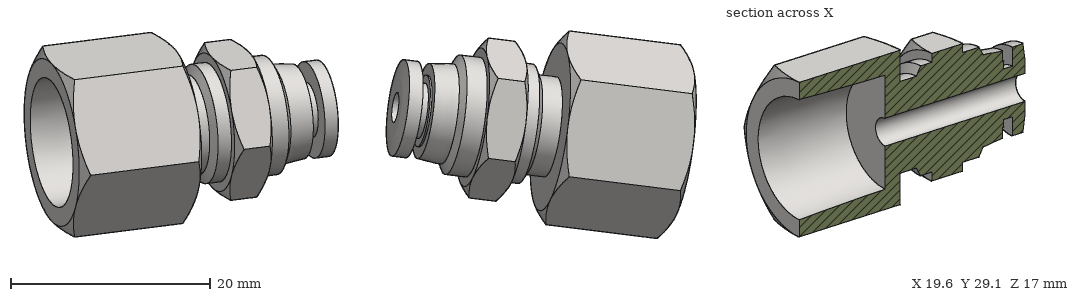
import cadquery as cq
import math

total_length = 29.05

body_flats = 17.0
body_length = 13.0
port_mouth_diameter = 13.15
port_depth = 11.05
port_taper = 1 / 16
through_hole_diameter = 3.02

nut_flats = 14.03
nut_thickness = 4.0
nut_start = body_length + 4.0
hex_chamfer_angle = 30.0

shank_diameter = 10.15
shank_end = body_length + 2.03
collar_diameter = 12.1
collar_chamfer_length = 0.55
collar_end = total_length - 5.37

sleeve_land_length = 0.45
sleeve_end = total_length - 2.9
sleeve_tip_diameter = 9.65
ring_diameter = 7.25
ring_height = 0.17

button_neck_diameter = 5.6
button_diameter = 9.8
button_thickness = 1.68
button_bevel_length = 0.25
button_face_diameter = 6.2


def revolve_about_y(stations):
    """Revolve a stepped outline given as (diameter, y) pairs."""
    first_y = stations[0][1]
    last_y = stations[-1][1]
    outline = [(0, first_y)]
    outline += [(diameter / 2, y) for diameter, y in stations]
    outline.append((0, last_y))
    return cq.Workplane("XY").polyline(outline).close().revolve(360, (0, 0, 0), (0, 1, 0))


def chamfered_hexagon(flats, start, length):
    """Hexagonal prism with corners on the X axis, conically chamfered at both ends."""
    corners = flats / math.cos(math.radians(30))
    chamfer = (corners - flats) / 2 * math.tan(math.radians(hex_chamfer_angle))
    end = start + length
    prism = cq.Workplane("XZ", origin=(0, start, 0)).polygon(6, corners).extrude(-length)
    envelope = revolve_about_y([
        (flats, start),
        (corners, start + chamfer),
        (corners, end - chamfer),
        (flats, end),
    ])
    return prism.intersect(envelope)


body = chamfered_hexagon(body_flats, 0, body_length)
nut = chamfered_hexagon(nut_flats, nut_start, nut_thickness)

button_start = total_length - button_thickness
ring_end = sleeve_end + ring_height
stem = revolve_about_y([
    (shank_diameter, body_length),
    (shank_diameter, shank_end),
    (collar_diameter, shank_end + collar_chamfer_length),
    (collar_diameter, collar_end - collar_chamfer_length),
    (shank_diameter, collar_end),
    (shank_diameter, collar_end + sleeve_land_length),
    (sleeve_tip_diameter, sleeve_end),
    (ring_diameter, sleeve_end),
    (ring_diameter, ring_end),
    (button_neck_diameter, ring_end),
    (button_neck_diameter, button_start),
    (button_diameter, button_start),
    (button_diameter, total_length - button_bevel_length),
    (button_face_diameter, total_length),
])

port_floor_diameter = port_mouth_diameter - port_taper * port_depth
port = revolve_about_y([
    (port_mouth_diameter, 0),
    (port_floor_diameter, port_depth),
])
through_hole = revolve_about_y([
    (through_hole_diameter, 0),
    (through_hole_diameter, total_length),
])

result = body.union(stem).union(nut).cut(port).cut(through_hole)